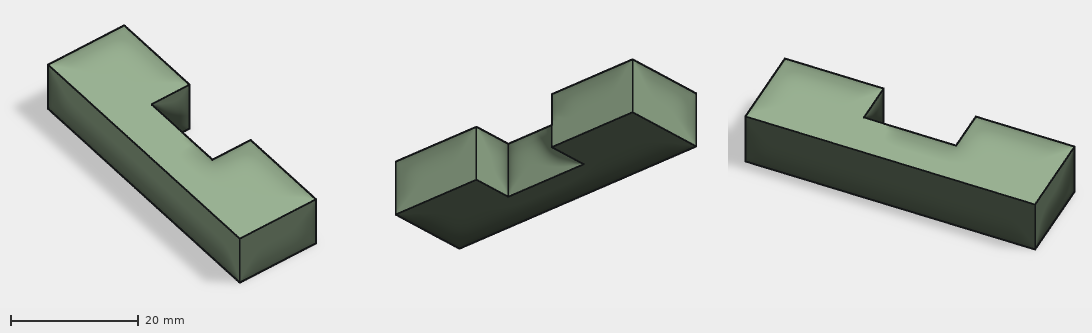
import cadquery as cq

length = 50.0
depth = 15.0
height = 9.5

notch_width = 15.9
notch_depth = depth / 2

block = cq.Workplane("XY").box(length, depth, height)

notch_center_y = depth / 2 - notch_depth / 2
notch = (
    cq.Workplane("XY")
    .box(notch_width, notch_depth, height)
    .translate((0, notch_center_y, 0))
)

result = block.cut(notch)